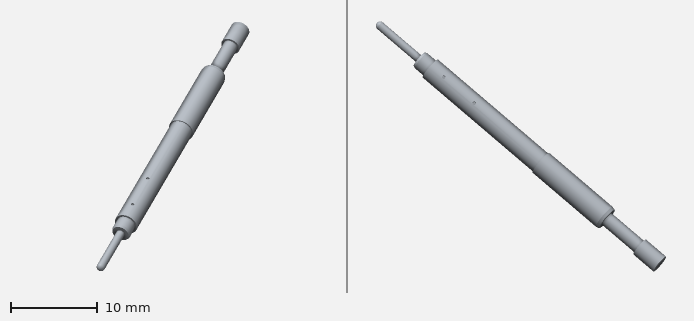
import cadquery as cq
import math

total_length = 43.3
head_length = 3.07
neck_length = 5.02
press_ring_length = 10.1
barrel_length = 16.95
collar_length = 1.7

head_diameter = 2.25
neck_diameter = 1.75
press_ring_diameter = 3.0
barrel_diameter = 2.73
collar_diameter = 2.25
pin_diameter = 1.0

ring_taper_length = 0.4
ring_taper_depth = 0.105
collar_taper_length = 0.25
collar_taper_depth = 0.15
tip_dome_height = 0.45

dimple_diameter = 0.4
dimple_depth = 0.2
dimple_end_offset = 2.05
dimple_spacing = 4.68

head_end = total_length / 2
neck_rear = head_end - head_length
ring_rear = neck_rear - neck_length
barrel_rear = ring_rear - press_ring_length
barrel_front = barrel_rear - barrel_length
collar_front = barrel_front - collar_length
tip_end = -total_length / 2
tip_base = tip_end + tip_dome_height

head_radius = head_diameter / 2
neck_radius = neck_diameter / 2
ring_radius = press_ring_diameter / 2
barrel_radius = barrel_diameter / 2
collar_radius = collar_diameter / 2
pin_radius = pin_diameter / 2

dome_radius = (pin_radius**2 + tip_dome_height**2) / (2 * tip_dome_height)
dome_centre = tip_end + dome_radius
dome_half_angle = math.asin(pin_radius / dome_radius)
dome_middle = (
    dome_radius * math.sin(dome_half_angle / 2),
    dome_centre - dome_radius * math.cos(dome_half_angle / 2),
)


def probe_body():
    """Half profile in the XY plane, revolved about the Y axis."""
    return (
        cq.Workplane("XY")
        .moveTo(0, head_end)
        .lineTo(head_radius, head_end)
        .lineTo(head_radius, neck_rear)
        .lineTo(neck_radius, neck_rear)
        .lineTo(neck_radius, ring_rear)
        .lineTo(ring_radius - ring_taper_depth, ring_rear)
        .lineTo(ring_radius, ring_rear - ring_taper_length)
        .lineTo(ring_radius, barrel_rear)
        .lineTo(barrel_radius, barrel_rear)
        .lineTo(barrel_radius, barrel_front)
        .lineTo(collar_radius, barrel_front)
        .lineTo(collar_radius, collar_front + collar_taper_length)
        .lineTo(collar_radius - collar_taper_depth, collar_front)
        .lineTo(pin_radius, collar_front)
        .lineTo(pin_radius, tip_base)
        .threePointArc(dome_middle, (0, tip_end))
        .close()
        .revolve(360, (0, 0), (0, 1))
    )


def crimp_dimples():
    """Two shallow round pockets sunk into the +Z side of the barrel."""
    nearer = barrel_front + dimple_end_offset
    return (
        cq.Workplane("XY", origin=(0, 0, barrel_radius - dimple_depth))
        .pushPoints([(0, nearer), (0, nearer + dimple_spacing)])
        .circle(dimple_diameter / 2)
        .extrude(2 * dimple_depth)
    )


result = probe_body().cut(crimp_dimples())